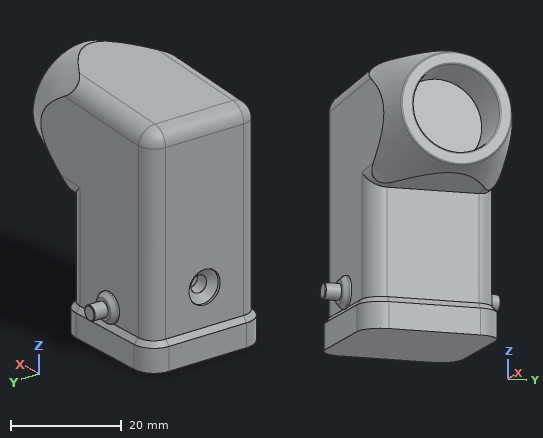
import cadquery as cq
import math

body_width = 24.6
edge_radius = 3.5
half_width = body_width / 2

flange_width = 26.5
flange_height = 4.95
flange_radius = 4.5
flange_overhang = (flange_width - body_width) / 2
flange_bevel_height = 1.1

arm_angle = 5.0
arm_depth = 22.95
roof_height = 47.1
arm_length = 36.7

nose_radius = 10.55
nose_taper = 20.0
bore_radius = 8.25
bore_depth = 10.0
rim_rounding = 0.25

peg_height = 8.9
peg_span = 33.5
peg_radius = 1.55
peg_chamfer = 0.15
collar_radius = 3.1
collar_tip_radius = 2.2
collar_rim_thickness = 0.4
collar_thickness = 1.4
collar_rounding = 0.2

screw_height = 13.95
countersink_radius = 3.5
countersink_rim_depth = 0.6
countersink_depth = 1.75
screw_hole_radius = 1.75
screw_hole_depth = 4.5

tilt = math.radians(arm_angle)
along = (math.cos(tilt), math.sin(tilt))
across = (math.sin(tilt), -math.cos(tilt))


def arm_point(distance, drop):
    """XZ point at a distance along the roof from its back corner and a drop square to it."""
    x = -half_width + distance * along[0] + drop * across[0]
    z = roof_height + distance * along[1] + drop * across[1]
    return (x, z)


def make_housing():
    """Column and arm as one bent profile, with every long outer edge rounded."""
    throat_distance = (body_width - arm_depth * across[0]) / along[0]
    outline = [
        (-half_width, 0),
        arm_point(0, 0),
        arm_point(arm_length, 0),
        arm_point(arm_length, arm_depth),
        arm_point(throat_distance, arm_depth),
        (half_width, 0),
    ]
    blank = cq.Workplane("XZ").polyline(outline).close().extrude(half_width, both=True)
    foot_and_entry_edges = blank.faces("<Z").edges().add(blank.faces(">X").edges()).vals()
    flank_edges = blank.faces("<Y or >Y").edges().vals()
    long_edges = [edge for edge in flank_edges if edge not in foot_and_entry_edges]
    rear_roof_edge = blank.faces("<X").edges(">Z").val()
    return blank.newObject(long_edges + [rear_roof_edge]).fillet(edge_radius)


def entry_workplane():
    """Workplane on the entry face, normal pointing out along the arm, local X along global Y."""
    x, z = arm_point(arm_length, arm_depth / 2)
    return cq.Workplane(cq.Plane(origin=(x, 0, z), xDir=(0, 1, 0), normal=(along[0], 0, along[1])))


def make_nose_waste():
    """Material outside the nose cone, back to where the cone clears the rounded arm corners."""
    corner_reach = edge_radius + math.hypot(half_width - edge_radius, arm_depth / 2 - edge_radius)
    nose_length = (corner_reach - nose_radius) / math.tan(math.radians(nose_taper))
    block = entry_workplane().rect(body_width, arm_depth).extrude(-nose_length)
    cone = entry_workplane().circle(nose_radius).extrude(-nose_length, taper=-nose_taper)
    return block.cut(cone)


def cut_entry(housing):
    """Taper the nose, bore the blind cable entry and round both circles of the entry face."""
    bore = entry_workplane().circle(bore_radius).extrude(-bore_depth)
    opened = housing.cut(make_nose_waste()).cut(bore)
    entry_face = cq.selectors.DirectionNthSelector(entry_workplane().plane.zDir, -1)
    return opened.faces(entry_face).edges().fillet(rim_rounding)


def make_flange():
    flange = (
        cq.Workplane("XY")
        .rect(flange_width, flange_width)
        .extrude(flange_height + flange_bevel_height)
        .edges("|Z")
        .fillet(flange_radius)
    )
    return flange.faces(">Z").edges().chamfer(flange_bevel_height, flange_overhang)


def make_peg():
    """Peg with a rounded conical collar on the +Y flank, turned about an axis along Y."""
    tip = peg_span / 2
    collar_rim = half_width + collar_rim_thickness
    collar_tip = half_width + collar_thickness
    collar_profile = [
        (0, 0),
        (collar_radius, 0),
        (collar_radius, collar_rim),
        (collar_tip_radius, collar_tip),
        (0, collar_tip),
    ]
    collar = cq.Workplane("XY").polyline(collar_profile).close().revolve(360, (0, 0), (0, 1))
    collar = collar.faces(">Y").edges().fillet(collar_rounding)
    rim_edge = cq.selectors.NearestToPointSelector((0, collar_rim, 0))
    collar = collar.edges("%CIRCLE").edges(rim_edge).fillet(collar_rounding)
    pin = cq.Workplane("XZ").circle(peg_radius).extrude(-tip).faces(">Y").chamfer(peg_chamfer)
    return collar.union(pin).translate((0, 0, peg_height))


def make_screw_hole():
    """Straight-rimmed countersink and blind hole, turned about an axis along X."""
    half_profile = [
        (0, 0),
        (0, countersink_radius),
        (countersink_rim_depth, countersink_radius),
        (countersink_depth, screw_hole_radius),
        (screw_hole_depth, screw_hole_radius),
        (screw_hole_depth, 0),
    ]
    hole = cq.Workplane("XY").polyline(half_profile).close().revolve(360, (0, 0), (1, 0))
    return hole.translate((-half_width, 0, screw_height))


peg = make_peg()
result = (
    cut_entry(make_housing())
    .union(make_flange())
    .union(peg)
    .union(peg.mirror("XZ"))
    .cut(make_screw_hole())
)